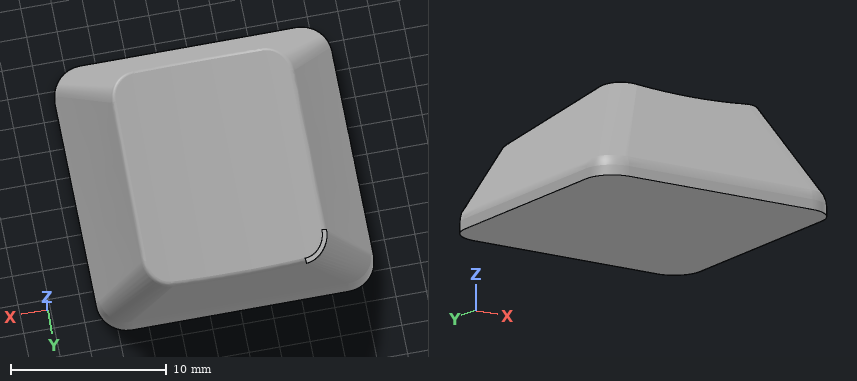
import cadquery as cq
import math

base_side = 18.16
base_corner_radius = 2.0
base_half = base_side / 2

shoulder_bottom = 0.67
shoulder_top = 1.37
shoulder_middle = (shoulder_bottom + shoulder_top) / 2
shoulder_middle_share = 1 / 4

crown_half_width = 5.9
crown_front = -5.5
crown_back = 8.68
crown_corner_radius = 1.85
crown_tilt = math.radians(7.0)
crown_height = 7.1
crown_centre = (crown_front + crown_back) / 2

dish_radius = 37.0
dish_depth = 0.54
dish_length = 2 * base_side

rim_radius = 0.3


def crown_level(y):
    """Height of the tilted crown plane at the given Y."""
    return crown_height - y * math.tan(crown_tilt)


def crown_plane(y):
    """Tilted crown plane with its origin at the given Y."""
    normal = (0, math.sin(crown_tilt), math.cos(crown_tilt))
    return cq.Plane(origin=(0, y, crown_level(y)), xDir=(1, 0, 0), normal=normal)


def rounded_wire(plane, width, depth, radius):
    """Rounded rectangle centred on the plane's origin."""
    sharp = cq.Workplane(plane).rect(width, depth).val()
    return sharp.fillet2D(radius, sharp.Vertices())


def wall_inset(run, crown_edge_y):
    """Distance a wall has leaned inwards at the top of the shoulder."""
    rise = crown_level(crown_edge_y) - shoulder_middle
    return run * (shoulder_top - shoulder_middle) / rise


def shoulder_wire(height, inset_share):
    """Section of the shoulder; the share scales the inset reached at its top."""
    side = inset_share * wall_inset(base_half - crown_half_width, crown_centre)
    front = inset_share * wall_inset(base_half + crown_front, crown_front)
    back = inset_share * wall_inset(base_half - crown_back, crown_back)
    plane = cq.Plane(origin=(0, (front - back) / 2, height))
    corner_radius = base_corner_radius - side
    return rounded_wire(plane, base_side - 2 * side, base_side - front - back, corner_radius)


def make_skirt():
    outline = rounded_wire(cq.Plane.XY(), base_side, base_side, base_corner_radius)
    return cq.Workplane(cq.Solid.extrudeLinear(outline, [], cq.Vector(0, 0, shoulder_bottom)))


def make_shoulder():
    """Parabolic blend from the upright skirt into the lean of the walls."""
    sections = [
        shoulder_wire(shoulder_bottom, 0),
        shoulder_wire(shoulder_middle, shoulder_middle_share),
        shoulder_wire(shoulder_top, 1),
    ]
    return cq.Workplane(cq.Solid.makeLoft(sections))


def make_tapered_walls():
    crown_depth = (crown_back - crown_front) / math.cos(crown_tilt)
    crown = rounded_wire(crown_plane(crown_centre), 2 * crown_half_width, crown_depth, crown_corner_radius)
    return cq.Workplane(cq.Solid.makeLoft([shoulder_wire(shoulder_top, 1), crown], True))


def make_dish():
    plane = crown_plane(0)
    axis_height = dish_radius - dish_depth
    start = plane.toWorldCoords((0, -dish_length / 2, axis_height))
    return cq.Workplane(cq.Solid.makeCylinder(dish_radius, dish_length, start, plane.yDir))


def round_rim(body):
    dished_face = body.faces(">Z").val()
    return body.newObject(dished_face.outerWire().Edges()).fillet(rim_radius)


body = make_skirt().union(make_shoulder()).union(make_tapered_walls())
result = round_rim(body.cut(make_dish()))